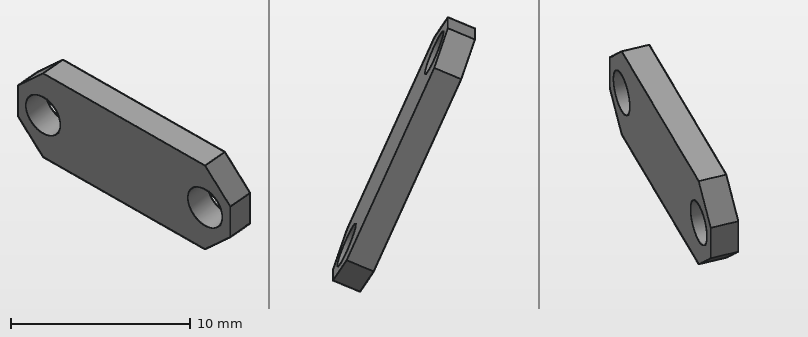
import cadquery as cq

length = 16.0
thickness = 1.65
height = 6.0
corner_cut = 1.9

hole_diameter = 2.6
hole_spacing = length - 2 * corner_cut

plate = cq.Workplane("XY").box(length, thickness, height).edges("|Y").chamfer(corner_cut)

result = (
    plate.faces("<Y")
    .workplane(centerOption="CenterOfBoundBox")
    .rarray(hole_spacing, 0.16, 2, 1)
    .hole(hole_diameter)
)